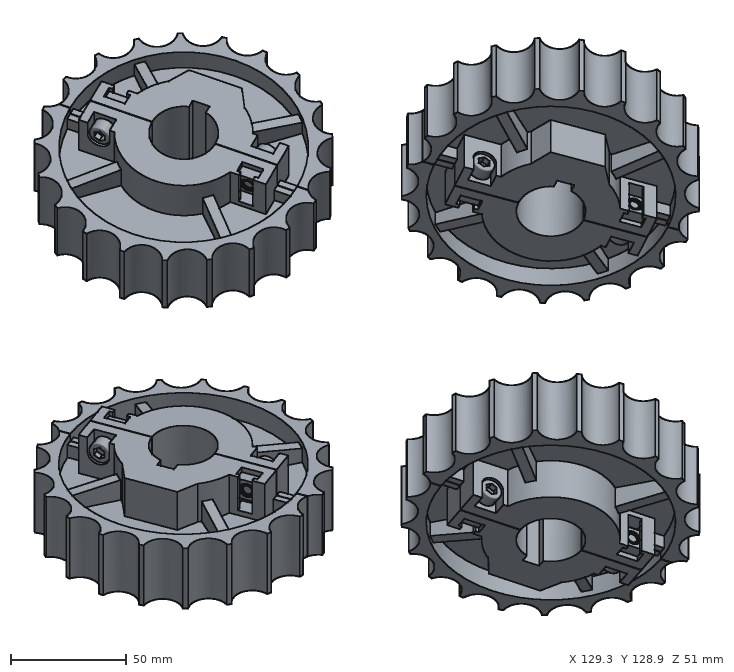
import cadquery as cq
import math


TOOTH_COUNT = 21
TIP_RADIUS = 64.74
ROLLER_RADIUS = 9.0
ROLLER_CIRCLE_RADIUS = 67.0
FIRST_ROLLER_ANGLE = 90.0
RIM_WIDTH = 31.75
RIM_INNER_RADIUS = 54.0
WEB_THICKNESS = 10.8

HUB_WIDTH = 51.0
HUB_RADIUS = 30.0
LUG_HALF_LENGTH = 44.5
LUG_HALF_DEPTH = 12.0
KEY_BOSS_TOP = 33.4
KEY_BOSS_HALF_WIDTH = 12.6
KEY_BOSS_FLANK_ANGLE = 60.0
BORE_DIAMETER = 30.0
KEYWAY_WIDTH = 8.0
KEYWAY_TOP = 18.3
SPLIT_GAP = 0.3

RIB_OVERLAP = 1.0
RIB_WIDTH = 5.0
RIB_ANGLES = (45, 135, 225, 315)
RIB_HEIGHT_AT_HUB = RIM_WIDTH / 2
RIB_HEIGHT_AT_RIM = 12.7
SPLIT_RIB_WIDTH = 6.35
SPLIT_RIB_HEIGHT = 12.0

SCREW_X = 35.0
SCREW_Z = 18.1
THREAD_DIAMETER = 6.0
TIP_CHAMFER = 0.9
SCREW_TIP_DEPTH = 9.5
HEAD_DIAMETER = 10.0
HEAD_HEIGHT = 6.0
HEAD_FILLET = 0.6
SOCKET_ACROSS_FLATS = 5.0
SOCKET_DEPTH = 3.0
HEAD_SEAT_DEPTH = 5.2
HEAD_POCKET_WIDTH = 10.5

NUT_SIZE = 10.0
NUT_THICKNESS = 5.2
NUT_COUNTERSINK = 0.45
NUT_FACE_DEPTH = 10.0
NUT_POCKET_INNER_DEPTH = 4.6
NUT_POCKET_FLOOR = 8.0
NUT_SLOT_WIDTH = 6.7


def box(x_range, y_range, z_range):
    """Box filling the given coordinate ranges."""
    (x0, x1), (y0, y1), (z0, z1) = x_range, y_range, z_range
    return cq.Workplane("XY").box(x1 - x0, y1 - y0, z1 - z0, centered=False).translate((x0, y0, z0))


def disc(radius, width):
    """Disc about the Z axis, centred on Z = 0."""
    return cq.Workplane("XY").circle(radius).extrude(width / 2, both=True)


def rod_along_y(radius, y0, y1):
    """Cylinder on the axis of the screw nearest (-X, +Z), from y0 to y1."""
    axis_plane = cq.Plane(origin=(-SCREW_X, y0, SCREW_Z), xDir=(1, 0, 0), normal=(0, 1, 0))
    return cq.Workplane(axis_plane).circle(radius).extrude(y1 - y0)


def four_places(body):
    """Copies of a body at all four screws: mirrored about Z = 0 and turned half way about Z."""
    pair = [body, body.mirror("XY")]
    return pair + [item.rotate((0, 0, 0), (0, 0, 1), 180) for item in pair]


def toothed_rim():
    rollers = (
        cq.Workplane("XY")
        .polarArray(ROLLER_CIRCLE_RADIUS, FIRST_ROLLER_ANGLE, 360, TOOTH_COUNT)
        .circle(ROLLER_RADIUS)
        .extrude(RIM_WIDTH / 2, both=True)
    )
    return disc(TIP_RADIUS, RIM_WIDTH).cut(rollers).cut(disc(RIM_INNER_RADIUS, RIM_WIDTH))


def hub():
    half_width = HUB_WIDTH / 2
    lugs = box(
        (-LUG_HALF_LENGTH, LUG_HALF_LENGTH),
        (-LUG_HALF_DEPTH, LUG_HALF_DEPTH),
        (-half_width, half_width),
    )
    boss_base = KEY_BOSS_TOP / 2
    flank_run = (KEY_BOSS_TOP - boss_base) / math.tan(math.radians(KEY_BOSS_FLANK_ANGLE))
    boss_base_half_width = KEY_BOSS_HALF_WIDTH + flank_run
    key_boss = (
        cq.Workplane("XY")
        .polyline([
            (-KEY_BOSS_HALF_WIDTH, KEY_BOSS_TOP),
            (KEY_BOSS_HALF_WIDTH, KEY_BOSS_TOP),
            (boss_base_half_width, boss_base),
            (-boss_base_half_width, boss_base),
        ])
        .close()
        .extrude(half_width, both=True)
    )
    return disc(HUB_RADIUS, HUB_WIDTH).union(lugs).union(key_boss)


def diagonal_ribs():
    """Ribs that slope down from the hub to the rim on both faces of the web."""
    slope = (RIB_HEIGHT_AT_HUB - RIB_HEIGHT_AT_RIM) / (RIM_INNER_RADIUS - HUB_RADIUS)
    start = HUB_RADIUS - RIB_OVERLAP
    end = RIM_INNER_RADIUS + RIB_OVERLAP
    start_height = RIB_HEIGHT_AT_HUB + slope * RIB_OVERLAP
    end_height = RIB_HEIGHT_AT_RIM - slope * RIB_OVERLAP
    rib = (
        cq.Workplane("XZ")
        .polyline([(start, -start_height), (end, -end_height), (end, end_height), (start, start_height)])
        .close()
        .extrude(RIB_WIDTH / 2, both=True)
    )
    ribs = cq.Workplane("XY")
    for angle in RIB_ANGLES:
        ribs = ribs.add(rib.rotate((0, 0, 0), (0, 0, 1), angle))
    return ribs.combine()


def split_ribs():
    """Flat ribs along the split, from the lugs out to the rim."""
    reach = RIM_INNER_RADIUS + RIB_OVERLAP
    return box(
        (-reach, reach),
        (-SPLIT_RIB_WIDTH / 2, SPLIT_RIB_WIDTH / 2),
        (-SPLIT_RIB_HEIGHT, SPLIT_RIB_HEIGHT),
    )


def keyed_bore():
    half_width = HUB_WIDTH / 2
    keyway = box((-KEYWAY_WIDTH / 2, KEYWAY_WIDTH / 2), (0, KEYWAY_TOP), (-half_width, half_width))
    return disc(BORE_DIAMETER / 2, HUB_WIDTH).union(keyway)


def screw_cavity():
    """Everything cut from the lugs for one screw: head pocket, hole, nut pocket and slot."""
    hub_top = HUB_WIDTH / 2
    pocket_radius = HEAD_POCKET_WIDTH / 2

    def slot_range(width):
        return (-SCREW_X - width / 2, -SCREW_X + width / 2)

    head_y = (-LUG_HALF_DEPTH, -HEAD_SEAT_DEPTH)
    head_pocket = rod_along_y(pocket_radius, *head_y)
    head_opening = box(slot_range(HEAD_POCKET_WIDTH), head_y, (SCREW_Z, hub_top))
    hole = rod_along_y(THREAD_DIAMETER / 2, -HEAD_SEAT_DEPTH, NUT_POCKET_INNER_DEPTH)
    nut_z = (NUT_POCKET_FLOOR, hub_top)
    nut_pocket = box(slot_range(NUT_SIZE), (NUT_POCKET_INNER_DEPTH, NUT_FACE_DEPTH), nut_z)
    nut_slot = box(slot_range(NUT_SLOT_WIDTH), (NUT_FACE_DEPTH, LUG_HALF_DEPTH), nut_z)
    return head_pocket.union(head_opening).union(hole).union(nut_pocket).union(nut_slot)


def sprocket():
    body = toothed_rim().union(disc(RIM_INNER_RADIUS, WEB_THICKNESS)).union(hub())
    body = body.union(diagonal_ribs()).union(split_ribs())
    body = body.cut(keyed_bore())
    for cavity in four_places(screw_cavity()):
        body = body.cut(cavity)
    return body


def sprocket_half(whole, side):
    """Half of the sprocket on the +Y (side = 1) or -Y (side = -1) side of the split."""
    y_range = sorted((side * SPLIT_GAP / 2, side * TIP_RADIUS))
    keep = box((-TIP_RADIUS, TIP_RADIUS), y_range, (-HUB_WIDTH / 2, HUB_WIDTH / 2))
    return whole.intersect(keep)


def clamp_screw():
    head_end = -HEAD_SEAT_DEPTH - HEAD_HEIGHT
    head = rod_along_y(HEAD_DIAMETER / 2, head_end, -HEAD_SEAT_DEPTH).faces("<Y").edges().fillet(HEAD_FILLET)
    shank = rod_along_y(THREAD_DIAMETER / 2, -HEAD_SEAT_DEPTH, SCREW_TIP_DEPTH)
    shank = shank.faces(">Y").edges().chamfer(TIP_CHAMFER)
    socket_plane = cq.Plane(origin=(-SCREW_X, head_end, SCREW_Z), xDir=(0, 0, 1), normal=(0, 1, 0))
    socket_corner_diameter = SOCKET_ACROSS_FLATS / math.cos(math.pi / 6)
    socket = cq.Workplane(socket_plane).polygon(6, socket_corner_diameter).extrude(SOCKET_DEPTH)
    return head.union(shank).cut(socket)


def square_nut():
    y_range = (NUT_FACE_DEPTH - NUT_THICKNESS, NUT_FACE_DEPTH)
    half_size = NUT_SIZE / 2
    nut = box(
        (-SCREW_X - half_size, -SCREW_X + half_size),
        y_range,
        (SCREW_Z - half_size, SCREW_Z + half_size),
    )
    nut = nut.cut(rod_along_y(THREAD_DIAMETER / 2, *y_range))
    return nut.edges("%CIRCLE").edges(">Y").chamfer(NUT_COUNTERSINK)


whole_sprocket = sprocket()
keyed_half = sprocket_half(whole_sprocket, 1)
plain_half = sprocket_half(whole_sprocket, -1)
screws = four_places(clamp_screw())
nuts = four_places(square_nut())

result = cq.Compound.makeCompound(
    [keyed_half.val(), plain_half.val()]
    + [screw.val() for screw in screws]
    + [nut.val() for nut in nuts]
)